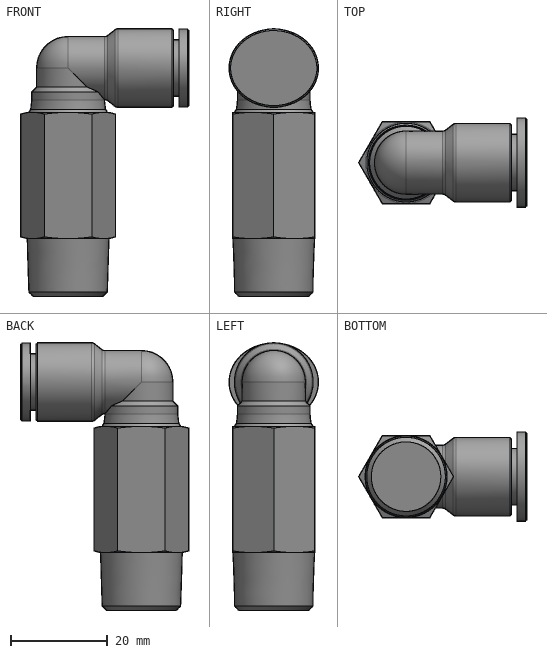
import cadquery as cq
import math

total_height = 55.45
arm_reach = 25.0

thread_length = 12.0
thread_top_radius = 8.5
thread_taper = 1 / 16
thread_chamfer = 0.95

hex_across_flats = 17.0
hex_across_corners = hex_across_flats / math.cos(math.pi / 6)
hex_top = 38.15
hex_chamfer_angle = math.radians(15)
hex_face_radius = 8.45

collar_foot_radius = 8.15
collar_base_radius = 7.75
collar_radius = 7.55
collar_foot_top = 38.75
collar_cone_top = 40.7
collar_edge = 42.35

elbow_radius = 6.55

socket_radius = 8.15
socket_cone_start = 7.95
socket_cone_end = 10.0
socket_end = 21.85
socket_end_chamfer = 0.4
socket_blend_radius = 1.0
rim_margin = 0.05
arm_height = total_height - socket_radius

neck_radius = 5.9
flange_start = 22.95
flange_half_width = 9.25
flange_half_height = 8.1
flange_chamfer = 0.35


def make_thread():
    """Tapered stem with a 45 degree lead-in at the bottom."""
    lead_radius = thread_top_radius - thread_taper / 2 * (thread_length - thread_chamfer)
    profile = [
        (0, 0),
        (lead_radius - thread_chamfer, 0),
        (lead_radius, thread_chamfer),
        (thread_top_radius, thread_length),
        (0, thread_length),
    ]
    return cq.Workplane("XZ").polyline(profile).close().revolve(360, (0, 0), (0, 1))


def make_hexagon():
    """Hexagon with corners on the X axis, its corners turned off at both ends."""
    prism = (
        cq.Workplane("XY")
        .workplane(offset=thread_length)
        .polygon(6, hex_across_corners)
        .extrude(hex_top - thread_length)
    )
    outer_radius = hex_across_corners / 2
    corner_drop = (outer_radius - hex_face_radius) * math.tan(hex_chamfer_angle)
    profile = [
        (0, thread_length),
        (hex_face_radius, thread_length),
        (outer_radius, thread_length + corner_drop),
        (outer_radius, hex_top - corner_drop),
        (hex_face_radius, hex_top),
        (0, hex_top),
    ]
    turned_envelope = cq.Workplane("XZ").polyline(profile).close().revolve(360, (0, 0), (0, 1))
    return prism.intersect(turned_envelope)


def make_collar_and_riser():
    """Stepped collar that narrows at 45 degrees into the riser of the elbow."""
    shoulder_top = collar_edge + collar_radius - elbow_radius
    profile = [
        (0, hex_top),
        (collar_foot_radius, hex_top),
        (collar_base_radius, collar_foot_top),
        (collar_radius, collar_cone_top),
        (collar_radius, collar_edge),
        (elbow_radius, shoulder_top),
        (elbow_radius, arm_height),
        (0, arm_height),
    ]
    return cq.Workplane("XZ").polyline(profile).close().revolve(360, (0, 0), (0, 1))


def make_knuckle():
    """Ball that rounds the outside of the elbow."""
    return cq.Workplane("XY").sphere(elbow_radius).translate((0, 0, arm_height))


def make_arm():
    """Arm widening through a blended cone into the socket, then the button neck."""
    profile = [
        (0, 0),
        (0, elbow_radius),
        (socket_cone_start, elbow_radius),
        (socket_cone_end, socket_radius),
        (socket_end, socket_radius),
        (socket_end, 0),
    ]
    socket = cq.Workplane("XZ").polyline(profile).close().revolve(360, (0, 0), (1, 0))
    for blend_x in (socket_cone_start, socket_cone_end):
        rim_zone = cq.selectors.BoxSelector(
            (blend_x - rim_margin, -socket_radius, -socket_radius),
            (blend_x + rim_margin, socket_radius, socket_radius),
        )
        socket = socket.edges(rim_zone).fillet(socket_blend_radius)
    socket = socket.faces(">X").edges().chamfer(socket_end_chamfer)
    neck = cq.Workplane("YZ").circle(neck_radius).extrude(flange_start)
    return socket.union(neck).translate((0, 0, arm_height))


def make_flange():
    """Oval release flange, wider across Y than it is tall."""
    return (
        cq.Workplane("YZ", origin=(flange_start, 0, arm_height))
        .ellipse(flange_half_width, flange_half_height)
        .extrude(arm_reach - flange_start)
        .faces(">X")
        .edges()
        .chamfer(flange_chamfer)
    )


result = (
    make_thread()
    .union(make_hexagon())
    .union(make_collar_and_riser())
    .union(make_knuckle())
    .union(make_arm())
    .union(make_flange())
)